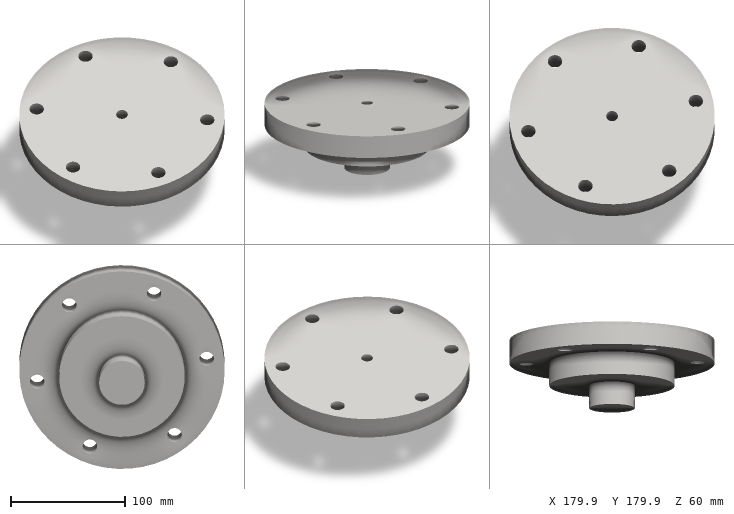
import cadquery as cq
import math

flange_diameter = 179.9
shoulder_diameter = 110.0
spigot_diameter = 40.0
total_height = 60.0
step_height = total_height / 3

bolt_count = 6
bolt_circle_diameter = 149.9
bolt_hole_diameter = 12.6
first_bolt_angle = 90.0

drill_diameter = 10.3
drill_depth = 2 * step_height
drill_point_angle = 118.0


def disc(diameter, bottom):
    """One step of the flange, with its lower face at the given height."""
    return cq.Workplane("XY").workplane(offset=bottom).circle(diameter / 2).extrude(step_height)


def drilled_hole():
    """Cylinder with a drill point, going down from the top face on the axis."""
    radius = drill_diameter / 2
    shoulder_z = total_height - drill_depth
    tip_z = shoulder_z - radius / math.tan(math.radians(drill_point_angle / 2))
    profile = cq.Workplane("XZ").polyline(
        [(0, total_height), (radius, total_height), (radius, shoulder_z), (0, tip_z)]
    )
    return profile.close().revolve(360, (0, 0, 0), (0, 1, 0))


spigot = disc(spigot_diameter, 0)
shoulder = disc(shoulder_diameter, step_height)
flange = disc(flange_diameter, 2 * step_height)

bolt_holes = (
    cq.Workplane("XY")
    .workplane(offset=2 * step_height)
    .polarArray(bolt_circle_diameter / 2, first_bolt_angle, 360, bolt_count)
    .circle(bolt_hole_diameter / 2)
    .extrude(step_height)
)

result = spigot.union(shoulder).union(flange).cut(bolt_holes).cut(drilled_hole())